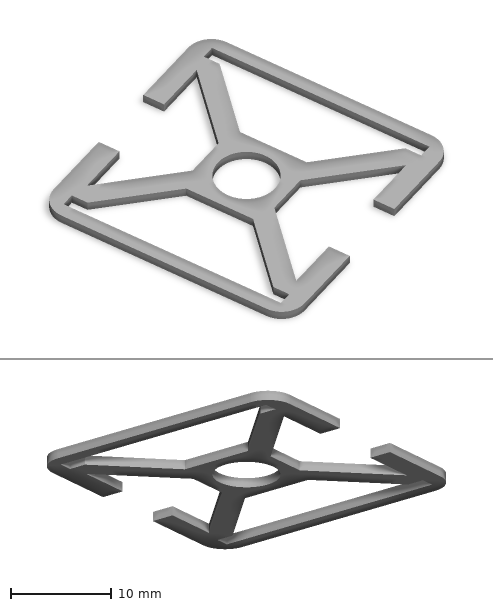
import cadquery as cq

side = 30.0
thickness = 1.0
corner_radius = 2.75
half_side = side / 2

slot_half_length = 13.0
slot_outer = 13.5
slot_inner = 12.0

lip_inner = 12.5
mouth_half_width = 4.05

hub_half = 4.9
bore_diameter = 6.8

hub_flat_y_face = 4.0
hub_flat_x_face = 2.37

slot_arm_end = hub_flat_y_face + (slot_inner - hub_half)
lip_arm_end = hub_flat_x_face + (lip_inner - hub_half)


def cutter(points):
    """Prism through the plate with the given outline."""
    return cq.Workplane("XY").polyline(points).close().extrude(thickness)


def mirrored_outline(half_outline, flip_x, flip_y):
    """Complete a half outline with its mirror image."""
    return half_outline + [(x * flip_x, y * flip_y) for x, y in reversed(half_outline)]


edge_slot = cutter(mirrored_outline(
    [
        (hub_flat_y_face, hub_half),
        (slot_arm_end, slot_inner),
        (slot_half_length, slot_inner),
        (slot_half_length, slot_outer),
    ],
    flip_x=-1,
    flip_y=1,
))

side_pocket = cutter(mirrored_outline(
    [
        (hub_half, hub_flat_x_face),
        (lip_inner, lip_arm_end),
        (lip_inner, mouth_half_width),
        (half_side, mouth_half_width),
    ],
    flip_x=1,
    flip_y=-1,
))

plate = cq.Workplane("XY").rect(side, side).extrude(thickness).edges("|Z").fillet(corner_radius)
bore = cq.Workplane("XY").circle(bore_diameter / 2).extrude(thickness)

result = plate.cut(bore)
for angle in (0, 180):
    for opening in (edge_slot, side_pocket):
        result = result.cut(opening.rotate((0, 0, 0), (0, 0, 1), angle))